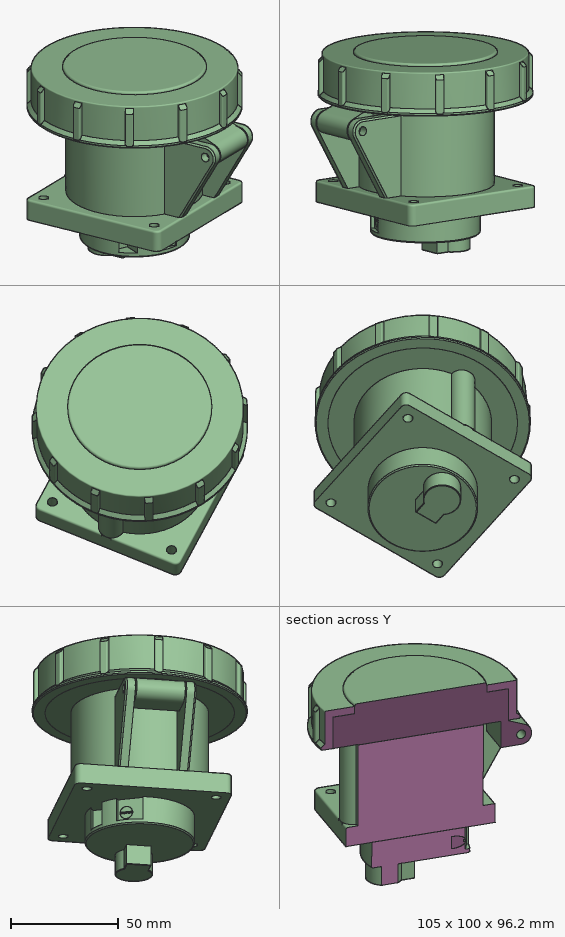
import cadquery as cq
import math


FLANGE_TOP = 10.0
RING_BOTTOM = 51.8
RING_TOP = 72.0
LID_TOP = 73.2
TOTAL_HEIGHT = 96.2
INSERT_BOTTOM = -13.3
BOSS_BOTTOM = LID_TOP - TOTAL_HEIGHT

BARREL_RADIUS = 32.0
FLANGE_SIZE = 74.0
FLANGE_CORNER_RADIUS = 3.0
FLANGE_EDGE_FILLET = 1.0
MOUNT_HOLE_SPACING = 61.0
MOUNT_HOLE_DIAMETER = 4.5
COLUMN_RADIUS = 6.15
COLUMN_LAND_WIDTH = 4.8

HINGE_X = 49.7
HINGE_Z = 43.5
HINGE_RADIUS = 5.3
HINGE_HOLE_DIAMETER = 4.2
ARM_OUTER_Y = 16.7
ARM_INNER_Y = 12.1
ARM_FOOT_X = 36.2
ARM_CHAMFER = 0.8
TONGUE_WIDTH = 22.8
TONGUE_BACK_X = 39.6
TONGUE_SLOPE_X = 43.2

RING_RADIUS = 50.0
RING_WALL_RADIUS = 48.1
RING_BORE_RADIUS = 44.0
RING_PLATE_THICKNESS = 4.0
RING_TOP_FILLET = 0.6
RIM_CHAMFER = 0.5
RIM_TOP = 53.2
BEVEL_TOP = 55.0
RIB_COUNT = 12
RIB_WIDTH = 3.9
RIB_FILLET = 0.7
RIB_BOTTOM = RIM_TOP - 0.3
RIB_SHOULDER_Z = 69.0
RIB_TOP_Z = RING_TOP - RING_TOP_FILLET
RIB_TOP_RADIUS = 47.8
RIB_ROOT_RADIUS = 46.0

LID_PLUG_RADIUS = 33.5
LID_PLUG_FILLET = 1.1

INSERT_RADIUS = 25.5
INSERT_CHAMFER = 0.6
BOSS_RADIUS = 8.7
BOSS_LEFT_X = -24.0
BOSS_KEY_RIGHT_X = -2.4
BOSS_KEY_LEFT_X = -8.8
BOSS_CHAMFER = 0.3
POCKET_BOTTOM = -11.1
POCKET_DIRECTION = -26.0

SCREW_POCKET_FLOOR = 23.2
SCREW_POCKET_SIDES = (-4.1, 8.2)
POCKET_REACH = INSERT_RADIUS + 1.0
SIDE_POCKET_FLOOR = 13.5
SIDE_POCKET_SIDES = (-18.8, -12.0)

SCREW_RADIUS = 3.0
SCREW_Z = -6.7
SCREW_LENGTH = 6.0
SCREW_SLOT_WIDTH = 0.8
SCREW_SLOT_DEPTH = 0.8


def hinge_tangent(x, z, side):
    """Point where a line from (x, z) touches the hinge circle, on the given turning side."""
    dx = x - HINGE_X
    dz = z - HINGE_Z
    angle = math.atan2(dz, dx) + side * math.acos(HINGE_RADIUS / math.hypot(dx, dz))
    return (HINGE_X + HINGE_RADIUS * math.cos(angle), HINGE_Z + HINGE_RADIUS * math.sin(angle))


def hinge_hole():
    return (
        cq.Workplane("XZ")
        .center(HINGE_X, HINGE_Z)
        .circle(HINGE_HOLE_DIAMETER / 2)
        .extrude(ARM_OUTER_Y, both=True)
    )


def make_hinge_arm():
    """Hinge arm on the -Y side, chamfered along the outline of its outer face."""
    arm_top = HINGE_Z + HINGE_RADIUS
    arm = (
        cq.Workplane("XZ", origin=(0, -ARM_INNER_Y, 0))
        .moveTo(0, FLANGE_TOP)
        .lineTo(ARM_FOOT_X, FLANGE_TOP)
        .lineTo(*hinge_tangent(ARM_FOOT_X, FLANGE_TOP, 1))
        .threePointArc((HINGE_X + HINGE_RADIUS, HINGE_Z), (HINGE_X, arm_top))
        .lineTo(0, arm_top)
        .close()
        .extrude(ARM_OUTER_Y - ARM_INNER_Y)
    )
    return arm.faces("<Y").edges("not(<X or <Z)").chamfer(ARM_CHAMFER)


def make_housing():
    flange = (
        cq.Workplane("XY")
        .rect(FLANGE_SIZE, FLANGE_SIZE)
        .extrude(FLANGE_TOP)
        .edges("|Z")
        .fillet(FLANGE_CORNER_RADIUS)
        .faces(">Z")
        .edges()
        .fillet(FLANGE_EDGE_FILLET)
    )
    barrel = cq.Workplane("XY").circle(BARREL_RADIUS).extrude(RING_BOTTOM)
    column_bottom = FLANGE_TOP - FLANGE_EDGE_FILLET
    column = (
        cq.Workplane("XY", origin=(COLUMN_RADIUS - FLANGE_SIZE / 2, 0, column_bottom))
        .circle(COLUMN_RADIUS)
        .extrude(RING_BOTTOM - column_bottom)
    )
    column_land = cq.Workplane("XY", origin=(-FLANGE_SIZE / 2, 0, 0)).box(
        COLUMN_RADIUS, COLUMN_LAND_WIDTH, FLANGE_TOP, centered=(False, True, False)
    )
    mount_holes = (
        cq.Workplane("XY")
        .rect(MOUNT_HOLE_SPACING, MOUNT_HOLE_SPACING, forConstruction=True)
        .vertices()
        .circle(MOUNT_HOLE_DIAMETER / 2)
        .extrude(FLANGE_TOP)
    )
    arm = make_hinge_arm()
    return (
        flange.union(barrel)
        .union(column)
        .union(column_land)
        .union(arm)
        .union(arm.mirror("XZ"))
        .cut(mount_holes)
        .cut(hinge_hole())
    )


def make_rib():
    """Grip rib on the +X side of the ring, with a sloping top."""
    return (
        cq.Workplane("XZ")
        .polyline(
            [
                (RIB_ROOT_RADIUS, RIB_BOTTOM),
                (RING_RADIUS, RIB_BOTTOM),
                (RING_RADIUS, RIB_SHOULDER_Z),
                (RIB_TOP_RADIUS, RIB_TOP_Z),
                (RIB_ROOT_RADIUS, RIB_TOP_Z),
            ]
        )
        .close()
        .extrude(RIB_WIDTH / 2, both=True)
        .faces(">X")
        .edges("|Z")
        .fillet(RIB_FILLET)
    )


def make_locking_ring():
    """Cup with a bevelled bottom rim, grip ribs and a round opening in its top plate."""
    plate_bottom = RING_TOP - RING_PLATE_THICKNESS
    ring = (
        cq.Workplane("XZ")
        .polyline(
            [
                (RING_BORE_RADIUS, RING_BOTTOM),
                (RING_RADIUS, RING_BOTTOM),
                (RING_RADIUS, RIM_TOP),
                (RING_WALL_RADIUS, BEVEL_TOP),
                (RING_WALL_RADIUS, RING_TOP),
                (LID_PLUG_RADIUS, RING_TOP),
                (LID_PLUG_RADIUS, plate_bottom),
                (RING_BORE_RADIUS, plate_bottom),
            ]
        )
        .close()
        .revolve()
    )
    ring = ring.faces(">Z").edges(cq.selectors.RadiusNthSelector(-1)).fillet(RING_TOP_FILLET)
    ring = ring.faces("<Z").edges(cq.selectors.RadiusNthSelector(-1)).chamfer(RIM_CHAMFER)
    rib = make_rib()
    for index in range(RIB_COUNT):
        ring = ring.union(rib.rotate((0, 0, 0), (0, 0, 1), index * 360 / RIB_COUNT))
    return ring


def make_lid():
    """Disc inside the ring, with a plug through the ring and a hinge tongue below."""
    disc = (
        cq.Workplane("XY", origin=(0, 0, RING_BOTTOM))
        .circle(RING_BORE_RADIUS)
        .extrude(RING_TOP - RING_PLATE_THICKNESS - RING_BOTTOM)
    )
    plug = (
        cq.Workplane("XY", origin=(0, 0, RING_BOTTOM))
        .circle(LID_PLUG_RADIUS)
        .extrude(LID_TOP - RING_BOTTOM)
        .faces(">Z")
        .edges()
        .fillet(LID_PLUG_FILLET)
    )
    tongue = (
        cq.Workplane("XZ")
        .moveTo(TONGUE_BACK_X, RING_BOTTOM)
        .lineTo(TONGUE_SLOPE_X, RING_BOTTOM)
        .lineTo(*hinge_tangent(TONGUE_SLOPE_X, RING_BOTTOM, -1))
        .threePointArc((HINGE_X + HINGE_RADIUS, HINGE_Z), (HINGE_X, HINGE_Z - HINGE_RADIUS))
        .lineTo(TONGUE_BACK_X, HINGE_Z - HINGE_RADIUS)
        .close()
        .extrude(TONGUE_WIDTH / 2, both=True)
    )
    return disc.union(plug).union(tongue).cut(hinge_hole())


def turn_to_pockets(body):
    return body.rotate((0, 0, 0), (0, 0, 1), POCKET_DIRECTION)


def make_pocket(floor, side_start, side_end):
    """Box that cuts a flat-floored pocket into the insert, open outwards."""
    box = (
        cq.Workplane("XY", origin=(0, 0, POCKET_BOTTOM))
        .moveTo(floor, side_start)
        .lineTo(POCKET_REACH, side_start)
        .lineTo(POCKET_REACH, side_end)
        .lineTo(floor, side_end)
        .close()
        .extrude(-POCKET_BOTTOM)
    )
    return turn_to_pockets(box)


def make_screw_shank():
    """Plain cylinder of the screw, also used to cut its hole; its end lies in the pocket floor."""
    shank = (
        cq.Workplane("YZ", origin=(SCREW_POCKET_FLOOR - SCREW_LENGTH, 0, SCREW_Z))
        .circle(SCREW_RADIUS)
        .extrude(SCREW_LENGTH)
    )
    return turn_to_pockets(shank)


def make_screw():
    """Slotted terminal screw, flush with the floor of its pocket."""
    slot = cq.Workplane("XY", origin=(SCREW_POCKET_FLOOR, 0, SCREW_Z)).box(
        2 * SCREW_SLOT_DEPTH, 2 * SCREW_RADIUS, SCREW_SLOT_WIDTH
    )
    return make_screw_shank().cut(turn_to_pockets(slot))


def make_boss():
    """Round boss with a key that runs from it towards the axis."""
    height = INSERT_BOTTOM - BOSS_BOTTOM
    center_x = BOSS_LEFT_X + BOSS_RADIUS
    key_half_width = math.sqrt(BOSS_RADIUS**2 - (BOSS_KEY_LEFT_X - center_x) ** 2)
    return (
        cq.Workplane("XY", origin=(0, 0, BOSS_BOTTOM))
        .moveTo(BOSS_KEY_LEFT_X, key_half_width)
        .threePointArc((BOSS_LEFT_X, 0), (BOSS_KEY_LEFT_X, -key_half_width))
        .lineTo(BOSS_KEY_RIGHT_X, -key_half_width)
        .lineTo(BOSS_KEY_RIGHT_X, key_half_width)
        .close()
        .extrude(height)
        .faces("<Z")
        .edges()
        .chamfer(BOSS_CHAMFER)
    )


def make_insert():
    disc = (
        cq.Workplane("XY", origin=(0, 0, INSERT_BOTTOM))
        .circle(INSERT_RADIUS)
        .extrude(-INSERT_BOTTOM)
        .faces("<Z")
        .edges()
        .chamfer(INSERT_CHAMFER)
    )
    return (
        disc.union(make_boss())
        .cut(make_pocket(SCREW_POCKET_FLOOR, *SCREW_POCKET_SIDES))
        .cut(make_pocket(SIDE_POCKET_FLOOR, *SIDE_POCKET_SIDES))
        .cut(make_screw_shank())
    )


housing = make_housing()
locking_ring = make_locking_ring()
lid = make_lid()
insert = make_insert()
screw = make_screw()

result = cq.Compound.makeCompound(
    [housing.val(), locking_ring.val(), lid.val(), insert.val(), screw.val()]
)